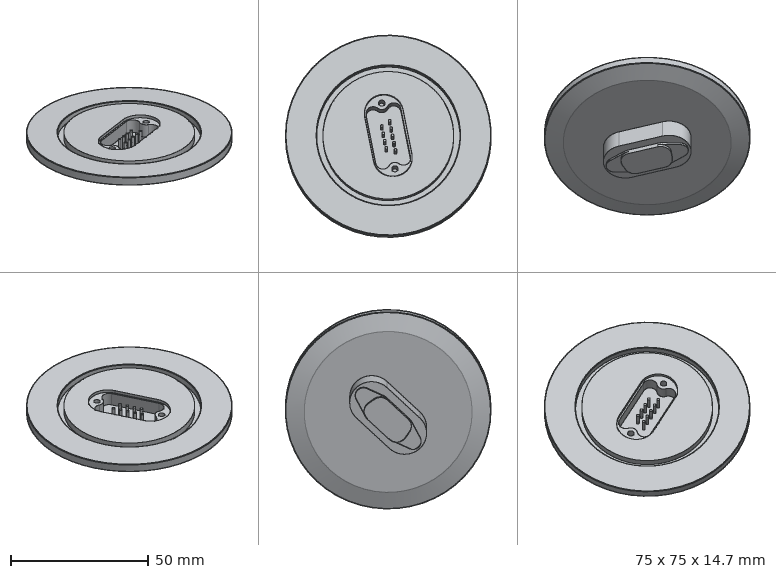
import cadquery as cq
import math

plate_radius = 37.5
edge_chamfer = 0.2
rim_height = 3.3
plate_height = 5.0
underside_radius = 30.6

groove_outer_radius = 26.1
groove_inner_radius = 23.8
groove_depth = 2.55

housing_width = 16.0
housing_length = 32.7
housing_bottom = -12.75
housing_wall = 0.9

recess_depth = 1.1
pocket_width = 12.9
pocket_floor = -6.15
lobe_radius = 2.6
lobe_center_y = 9.2

screw_hole_diameter = 2.25
screw_hole_offset = 12.5

pin_diameter = 1.0
pin_height = 4.7
pin_root = 0.4
pin_pitch = 2.8
pin_row_offset = 1.6
pins_per_row = {-pin_row_offset: 4, pin_row_offset: 5}

flange_thickness = 0.9
flange_half_width = 5.2
flange_tip_radius = 3.0
flange_shoulder_y = 6.6
flange_shoulder_radius = 5.25

shell_bottom = -14.7
shell_taper = 10.0
shell_corner_radius = 3.9
shell_half_length = 10.2


def slot_prism(width, length, bottom, top):
    """Vertical prism with a rounded-end outline, long side along Y."""
    return cq.Workplane("XY").workplane(offset=bottom).slot2D(length, width, 90).extrude(top - bottom)


def round_plate():
    """Turned plate with chamfered rim, coned underside and ring groove."""
    profile = [
        (0, 0),
        (groove_inner_radius, 0),
        (groove_inner_radius, -groove_depth),
        (groove_outer_radius, -groove_depth),
        (groove_outer_radius, -edge_chamfer),
        (groove_outer_radius + edge_chamfer, 0),
        (plate_radius - edge_chamfer, 0),
        (plate_radius, -edge_chamfer),
        (plate_radius, edge_chamfer - rim_height),
        (plate_radius - edge_chamfer, -rim_height),
        (underside_radius, -plate_height),
        (0, -plate_height),
    ]
    return cq.Workplane("XZ").polyline(profile).close().revolve(360, (0, 0), (0, 1))


def lobed_pocket():
    """Deep pocket whose ends curve inward around the screw holes."""
    side = pocket_width / 2
    lobe_x = side - lobe_radius
    hole_rise = screw_hole_offset - lobe_center_y
    center_distance = math.hypot(lobe_x, hole_rise)
    notch_radius = center_distance - lobe_radius
    notch_y = screw_hole_offset - notch_radius
    touch_fraction = lobe_radius / center_distance
    touch_x = lobe_x * (1 - touch_fraction)
    touch_y = lobe_center_y + hole_rise * touch_fraction
    notch_half_angle = math.atan2(lobe_x, hole_rise) / 2
    notch_mid = (
        notch_radius * math.sin(notch_half_angle),
        screw_hole_offset - notch_radius * math.cos(notch_half_angle),
    )

    quarter = (
        cq.Workplane("XY")
        .workplane(offset=pocket_floor)
        .lineTo(side, 0)
        .lineTo(side, lobe_center_y)
        .threePointArc((lobe_x, lobe_center_y + lobe_radius), (touch_x, touch_y))
        .threePointArc(notch_mid, (0, notch_y))
        .close()
        .extrude(-pocket_floor)
    )
    half = quarter.union(quarter.mirror("YZ"))
    return half.union(half.mirror("XZ"))


def contact_pins():
    """Two staggered rows of pins, rooted slightly in the pocket floor."""
    points = []
    for row_x, count in pins_per_row.items():
        first_y = -pin_pitch * (count - 1) / 2
        points += [(row_x, first_y + index * pin_pitch) for index in range(count)]
    return (
        cq.Workplane("XY")
        .workplane(offset=pocket_floor - pin_root)
        .pushPoints(points)
        .circle(pin_diameter / 2)
        .extrude(pin_root + pin_height)
    )


def screw_flange():
    """Diamond flange with round tips centered on the screw holes."""
    shoulder_rise = screw_hole_offset - flange_shoulder_y
    shoulder_distance = math.hypot(flange_half_width, shoulder_rise)
    shoulder_angle = math.atan2(-shoulder_rise, flange_half_width)
    tangent_angle = shoulder_angle + math.acos(flange_tip_radius / shoulder_distance)
    tangent_x = flange_tip_radius * math.cos(tangent_angle)
    tangent_y = screw_hole_offset + flange_tip_radius * math.sin(tangent_angle)
    tip_y = screw_hole_offset + flange_tip_radius
    blank = (
        cq.Workplane("XY")
        .workplane(offset=housing_bottom)
        .moveTo(flange_half_width, -flange_shoulder_y)
        .lineTo(flange_half_width, flange_shoulder_y)
        .lineTo(tangent_x, tangent_y)
        .threePointArc((0, tip_y), (-tangent_x, tangent_y))
        .lineTo(-flange_half_width, flange_shoulder_y)
        .lineTo(-flange_half_width, -flange_shoulder_y)
        .lineTo(-tangent_x, -tangent_y)
        .threePointArc((0, -tip_y), (tangent_x, -tangent_y))
        .close()
        .extrude(-flange_thickness)
    )
    return blank.edges("(|Z and >X) or (|Z and <X)").fillet(flange_shoulder_radius)


def connector_shell():
    """D-shaped connector body with rounded corners."""
    short_half_length = shell_half_length - 2 * flange_half_width * math.tan(math.radians(shell_taper))
    return (
        cq.Workplane("XY")
        .workplane(offset=shell_bottom)
        .polyline([
            (flange_half_width, -shell_half_length),
            (flange_half_width, shell_half_length),
            (-flange_half_width, short_half_length),
            (-flange_half_width, -short_half_length),
        ])
        .close()
        .extrude(housing_bottom - shell_bottom)
        .edges("|Z")
        .fillet(shell_corner_radius)
    )


housing = slot_prism(housing_width, housing_length, housing_bottom, -plate_height)
recess = slot_prism(
    housing_width - 2 * housing_wall, housing_length - 2 * housing_wall, -recess_depth, 0
)
screw_holes = (
    cq.Workplane("XY")
    .workplane(offset=pocket_floor)
    .pushPoints([(0, -screw_hole_offset), (0, screw_hole_offset)])
    .circle(screw_hole_diameter / 2)
    .extrude(-pocket_floor)
)

result = (
    round_plate()
    .union(housing)
    .union(screw_flange())
    .union(connector_shell())
    .cut(recess)
    .cut(lobed_pocket())
    .cut(screw_holes)
    .union(contact_pins())
)